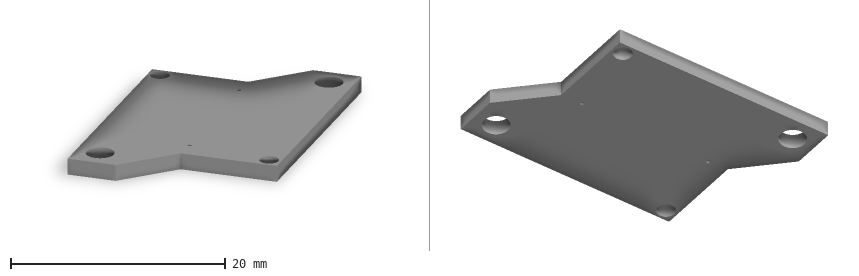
import cadquery as cq

body_size = 19.05
thickness = 1.6
tab_length = body_size / 4
half_body = body_size / 2
half_length = half_body + tab_length

mount_diameter = 2.71
mount_inset = tab_length / 2
corner_diameter = 1.85
corner_inset = tab_length / 4
pin_diameter = 0.4
pin_offset_x = 0.12
back_pin_y = 7.24
front_pin_y = -7.37


def make_plate():
    half_outline = [
        (-half_body, half_body),
        (0, half_body),
        (tab_length, half_length),
        (half_body, half_length),
    ]
    opposite_half = [(-x, -y) for x, y in half_outline]
    return cq.Workplane("XY").polyline(half_outline + opposite_half).close().extrude(thickness)


def drill(plate, centers, diameter):
    """Drill a through hole at each center."""
    return (
        plate.faces(">Z")
        .workplane(origin=(0, 0, thickness))
        .pushPoints(centers)
        .hole(diameter)
    )


def opposite_pair(x, y):
    """Return (x, y) and its twin half a turn about Z."""
    return [(x, y), (-x, -y)]


mount_centers = opposite_pair(half_body - mount_inset, half_length - mount_inset)
corner_centers = opposite_pair(-half_body + corner_inset, half_body - corner_inset)
pin_centers = [(-pin_offset_x, back_pin_y), (pin_offset_x, front_pin_y)]

result = make_plate()
result = drill(result, mount_centers, mount_diameter)
result = drill(result, corner_centers, corner_diameter)
result = drill(result, pin_centers, pin_diameter)